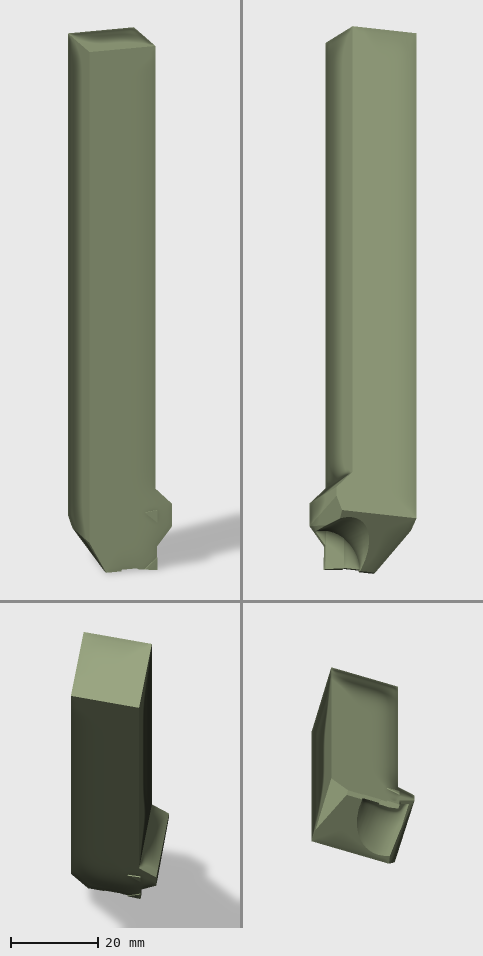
import cadquery as cq
import math

SHANK_WIDTH = 15.9
HEAD_DEPTH = 19.9
TOP_Z = 125.0
HOLDER_BOTTOM = 0.4

STEP_TOP_Z = 19.4
STEP_BOTTOM_Z = STEP_TOP_Z - (HEAD_DEPTH - SHANK_WIDTH)
NOSE_TOP_Z = 10.0
NOSE_BOTTOM_Z = 5.5
HEEL_Y = 4.0
HEEL_TOP_Z = 7.9

SLOPE_TOP_Z = 10.0
SLOPE_BOTTOM_X = 14.8
WEB_X = 15.0
WEB_BOTTOM_Z = 0.8

CLEARANCE_Y = 16.4
CLEARANCE_RADIUS = 8.6
CLEARANCE_TILT = 4.0

RELIEF_TOP_Z = 13.2
RELIEF_INSET = 1.4

INSERT_X = 14.8
INSERT_BACK_Y = 11.8
INSERT_FRONT_Y = 16.2
INSERT_HEIGHT = 14.2
END_RISE = 0.5
TIP_LAND = 3.0
LAND_HEIGHT = 0.2
CORNER_WIDTH = 2.2
CORNER_HEIGHT = 2.6
CORNER_DEPTH = 0.4


def prism(points, x_start, x_end):
    """Extrude a (Y, Z) outline along X."""
    return cq.Workplane("YZ", origin=(x_start, 0, 0)).polyline(points).close().extrude(x_end - x_start)


def tetrahedron(corners):
    """Solid with four triangular faces."""
    faces = []
    for skipped in range(len(corners)):
        triangle = [cq.Vector(*p) for i, p in enumerate(corners) if i != skipped]
        faces.append(cq.Face.makeFromWires(cq.Wire.makePolygon(triangle, close=True)))
    return cq.Workplane(cq.Solid.makeSolid(cq.Shell.makeShell(faces)))


def insert_blank():
    """Bar with ends that fall towards the front cutting corners."""
    return prism(
        [
            (INSERT_BACK_Y, END_RISE),
            (INSERT_FRONT_Y, 0),
            (INSERT_FRONT_Y, INSERT_HEIGHT),
            (INSERT_BACK_Y, INSERT_HEIGHT - END_RISE),
        ],
        INSERT_X,
        SHANK_WIDTH,
    )


def make_holder():
    body = prism(
        [
            (0, TOP_Z),
            (SHANK_WIDTH, TOP_Z),
            (SHANK_WIDTH, STEP_TOP_Z),
            (HEAD_DEPTH, STEP_BOTTOM_Z),
            (HEAD_DEPTH, NOSE_TOP_Z),
            (INSERT_FRONT_Y, NOSE_BOTTOM_Z),
            (INSERT_FRONT_Y, HOLDER_BOTTOM),
            (HEEL_Y, HOLDER_BOTTOM),
            (0, HEEL_TOP_Z),
        ],
        0,
        SHANK_WIDTH,
    )

    underside = (
        cq.Workplane("XZ")
        .polyline([(0, HOLDER_BOTTOM), (0, SLOPE_TOP_Z), (SLOPE_BOTTOM_X, HOLDER_BOTTOM)])
        .close()
        .extrude(-HEAD_DEPTH)
    )
    body = body.cut(underside)

    tilt = math.radians(CLEARANCE_TILT)
    axis = cq.Vector(math.cos(tilt), math.sin(tilt), 0)
    floor_center = cq.Vector(WEB_X, CLEARANCE_Y, HOLDER_BOTTOM)
    tool_length = 2 * WEB_X
    clearance = cq.Workplane(
        cq.Solid.makeCylinder(CLEARANCE_RADIUS, 2 * tool_length, floor_center - axis * tool_length, axis)
    )
    open_side = cq.Workplane("YZ", origin=(WEB_X, 0, 0)).rect(TOP_Z, TOP_Z).extrude(-tool_length)
    body = body.cut(clearance.intersect(open_side))

    web_trim = prism(
        [
            (CLEARANCE_Y, HOLDER_BOTTOM),
            (CLEARANCE_Y, WEB_BOTTOM_Z),
            (CLEARANCE_Y - CLEARANCE_RADIUS, WEB_BOTTOM_Z),
            (CLEARANCE_Y - CLEARANCE_RADIUS, HOLDER_BOTTOM),
        ],
        WEB_X,
        SHANK_WIDTH,
    )
    body = body.cut(web_trim)

    relief_drop = RELIEF_TOP_Z - NOSE_TOP_Z
    relief = tetrahedron(
        [
            (0, HEAD_DEPTH, RELIEF_TOP_Z),
            (0, HEAD_DEPTH - 2 * RELIEF_INSET, RELIEF_TOP_Z - 2 * relief_drop),
            (SHANK_WIDTH, HEAD_DEPTH, NOSE_TOP_Z),
            (0, HEAD_DEPTH, RELIEF_TOP_Z - 2 * relief_drop),
        ]
    )
    body = body.cut(relief)

    return body.cut(insert_blank())


def make_insert():
    body = insert_blank()

    land = prism(
        [
            (INSERT_FRONT_Y, 0),
            (INSERT_FRONT_Y, TIP_LAND),
            (INSERT_FRONT_Y - TIP_LAND, END_RISE * TIP_LAND / (INSERT_FRONT_Y - INSERT_BACK_Y)),
        ],
        SHANK_WIDTH,
        SHANK_WIDTH + LAND_HEIGHT,
    )
    upper_land = land.mirror("XY", (0, 0, INSERT_HEIGHT / 2))
    body = body.union(land).union(upper_land)

    bevel = tetrahedron(
        [
            (INSERT_X, INSERT_FRONT_Y, 0),
            (INSERT_X, INSERT_FRONT_Y - CORNER_WIDTH, 0),
            (INSERT_X, INSERT_FRONT_Y, CORNER_HEIGHT),
            (INSERT_X + CORNER_DEPTH, INSERT_FRONT_Y, 0),
        ]
    )
    return body.cut(bevel)


holder = make_holder()
insert = make_insert()
result = cq.Compound.makeCompound([holder.solids().val(), insert.solids().val()])